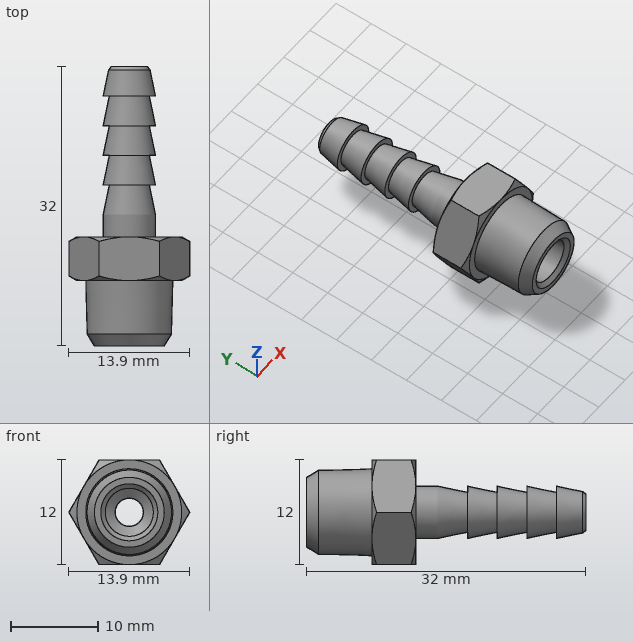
import cadquery as cq
import math

total_length = 32.0

thread_length = 7.5
thread_root_radius = 5.0
thread_end_radius = 4.83
thread_tip_radius = 4.0
thread_chamfer_length = 1.38

hex_length = 5.02
hex_across_flats = 12.0
hex_chamfer_angle = 30.0

barb_count = 5
barb_pitch = 3.4
barb_large_radius = 3.0
barb_small_radius = 2.3
tip_chamfer_length = 0.4
tip_radius = 2.08

through_radius = 1.6
socket_mouth_radius = 3.25
socket_radius = 2.75
socket_chamfer_length = 0.5
socket_depth = 8.0
socket_drill_point_angle = 118.0

hex_start = thread_length
hex_end = hex_start + hex_length
barbs_start = total_length - barb_count * barb_pitch


def revolve_about_y(points):
    """Turn a closed (radius, y) outline into a solid around the Y axis."""
    return cq.Workplane("XY").polyline(points).close().revolve(360, (0, 0, 0), (0, 1, 0))


def make_thread_body():
    return revolve_about_y([
        (0, 0),
        (thread_tip_radius, 0),
        (thread_end_radius, thread_chamfer_length),
        (thread_root_radius, hex_start),
        (0, hex_start),
    ])


def make_hexagon():
    flat_radius = hex_across_flats / 2
    corner_radius = hex_across_flats / math.sqrt(3)
    chamfer_length = (corner_radius - flat_radius) * math.tan(math.radians(hex_chamfer_angle))
    prism = (
        cq.Workplane("XZ", origin=(0, hex_start, 0))
        .polygon(6, 2 * corner_radius)
        .extrude(-hex_length)
    )
    envelope = revolve_about_y([
        (0, hex_start),
        (flat_radius, hex_start),
        (corner_radius, hex_start + chamfer_length),
        (corner_radius, hex_end - chamfer_length),
        (flat_radius, hex_end),
        (0, hex_end),
    ])
    return prism.intersect(envelope)


def make_tail():
    outline = [(0, hex_end), (barb_large_radius, hex_end)]
    for index in range(barb_count):
        barb_base = barbs_start + index * barb_pitch
        outline.append((barb_large_radius, barb_base))
        if index < barb_count - 1:
            outline.append((barb_small_radius, barb_base + barb_pitch))
    taper = (barb_large_radius - barb_small_radius) / barb_pitch
    outline += [
        (barb_small_radius + taper * tip_chamfer_length, total_length - tip_chamfer_length),
        (tip_radius, total_length),
        (0, total_length),
    ]
    return revolve_about_y(outline)


def make_bore():
    half_point_angle = math.radians(socket_drill_point_angle / 2)
    point_length = (socket_radius - through_radius) / math.tan(half_point_angle)
    return revolve_about_y([
        (0, 0),
        (socket_mouth_radius, 0),
        (socket_radius, socket_chamfer_length),
        (socket_radius, socket_depth),
        (through_radius, socket_depth + point_length),
        (through_radius, total_length),
        (0, total_length),
    ])


result = make_thread_body().union(make_hexagon()).union(make_tail()).cut(make_bore())